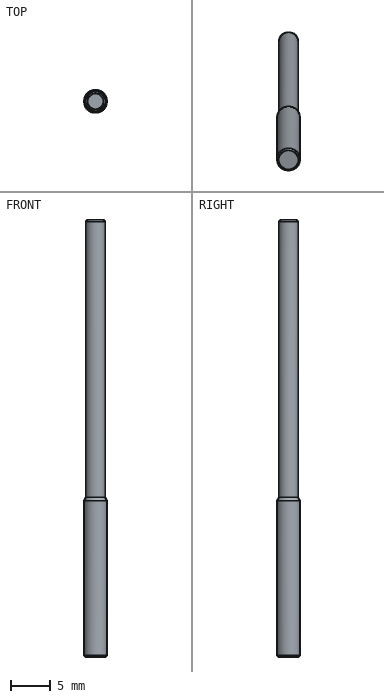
import cadquery as cq

total_length = 56.0
shank_diameter = 2.95
rod_diameter = 2.5
shank_length = 20.45
shoulder_height = 0.45
rod_chamfer = 0.25

shank_chamfer = (shank_diameter - rod_diameter) / 2
rod_length = total_length - shank_length


def make_shank():
    """Thick lower cylinder on Z = 0, with a tapered shoulder on top and a 45 degree bottom chamfer."""
    shank_radius = shank_diameter / 2
    end_radius = rod_diameter / 2
    half_profile = (
        cq.Workplane("XZ")
        .lineTo(end_radius, 0)
        .lineTo(shank_radius, shank_chamfer)
        .lineTo(shank_radius, shank_length - shoulder_height)
        .lineTo(end_radius, shank_length)
        .lineTo(0, shank_length)
        .close()
    )
    return half_profile.revolve(360, (0, 0, 0), (0, 1, 0))


def make_rod():
    """Thin upper cylinder, resting on the shank, chamfered at its free end."""
    base = cq.Workplane("XY").workplane(offset=shank_length)
    cylinder = base.circle(rod_diameter / 2).extrude(rod_length)
    return cylinder.faces(">Z").chamfer(rod_chamfer)


shank = make_shank()
rod = make_rod()

result = cq.Compound.makeCompound([shank.val(), rod.val()])